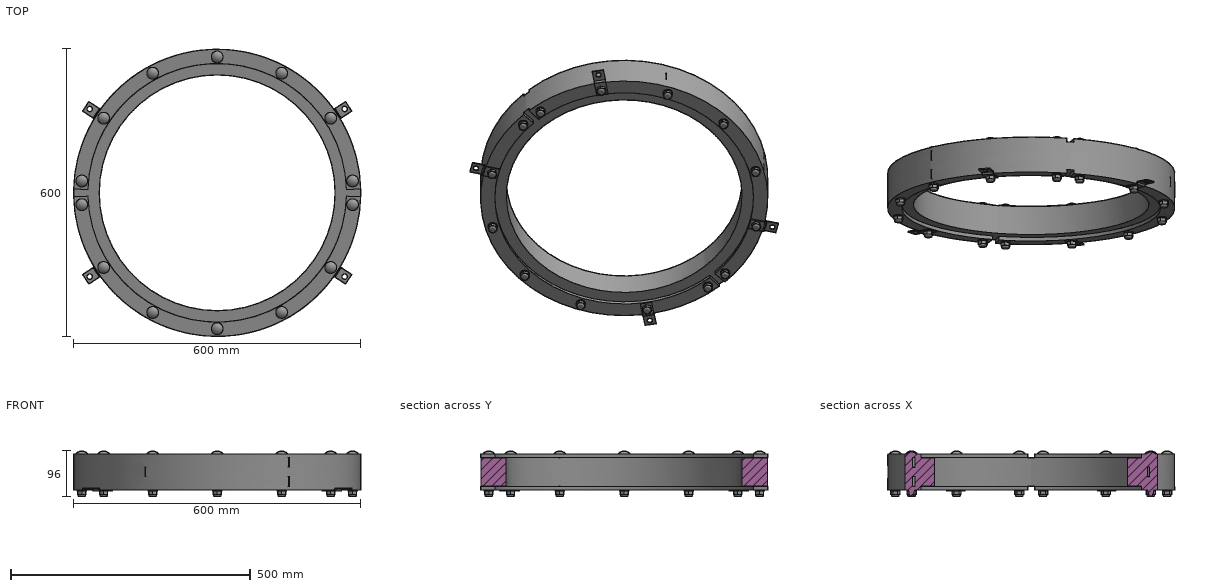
import cadquery as cq
import math

outer_radius = 300.0
flange_inner_radius = 270.0
bore_radius = 246.0
layer_count = 3
body_height = 60.0
flange_thickness = 8.0
flange_gap_half_angle = 1.5
lamination_count = 14

joint_width = 2.0
joint_angles_by_layer = [(120, 300), (60, 240), (120, 300)]

bolt_circle_radius = 284.0
bolts_per_half = 7
end_bolt_angle = 5.0
head_diameter = 24.5
head_height = 6.0
washer_diameter = 20.0
washer_thickness = 2.5
nut_across_corners = 20.0
nut_height = 6.5
collar_diameter = 16.0
collar_height = 5.0
collar_rounding = 3.0

tab_width = 24.0
tab_thickness = washer_thickness
tab_rise = 4.0
tab_inner_radius = 270.0
tab_bend_run = 2.5
tab_end_radius = 329.0
tab_hole_diameter = 11.0
tab_hole_radius = 318.5

layer_height = body_height / layer_count
body_top = body_height / 2
ring_top = body_top + flange_thickness
ring_bottom = -ring_top
bolt_pitch = (180 - 2 * end_bolt_angle) / (bolts_per_half - 1)
half_bolt_angles = [end_bolt_angle + i * bolt_pitch for i in range(bolts_per_half)]
bolt_angles = half_bolt_angles + [angle + 180 for angle in half_bolt_angles]
tab_angle = half_bolt_angles[1]
tab_angles = [tab_angle, 180 - tab_angle, 180 + tab_angle, 360 - tab_angle]


def polar(radius, angle):
    return (radius * math.cos(math.radians(angle)), radius * math.sin(math.radians(angle)))


def arc_block(inner, outer, start, end, bottom, height):
    """Part of a ring between two angles in degrees."""
    middle = (start + end) / 2
    return (
        cq.Workplane("XY", origin=(0, 0, bottom))
        .moveTo(*polar(inner, start))
        .lineTo(*polar(outer, start))
        .threePointArc(polar(outer, middle), polar(outer, end))
        .lineTo(*polar(inner, end))
        .threePointArc(polar(inner, middle), polar(inner, start))
        .close()
        .extrude(height)
    )


def half_layer(level, start):
    """Half of one outer layer, with its open joint cut through to the laminations."""
    bottom = -body_top + level * layer_height
    layer = arc_block(flange_inner_radius, outer_radius, start, start + 180, bottom, layer_height)
    joint_depth = outer_radius - flange_inner_radius
    joint_middle = (outer_radius + flange_inner_radius) / 2
    for angle in joint_angles_by_layer[level]:
        joint = (
            cq.Workplane("XY")
            .box(joint_depth, joint_width, layer_height, centered=(True, True, False))
            .translate((joint_middle, 0, bottom))
            .rotate((0, 0, 0), (0, 0, 1), angle)
        )
        layer = layer.cut(joint)
    return layer


def lamination_halves():
    thickness = (flange_inner_radius - bore_radius) / lamination_count
    halves = []
    for i in range(lamination_count):
        inner = bore_radius + i * thickness
        for start in (0, 180):
            halves.append(
                arc_block(inner, inner + thickness, start, start + 180, -body_top, body_height)
            )
    return halves


def half_flange(bottom, start):
    return arc_block(
        flange_inner_radius,
        outer_radius,
        start + flange_gap_half_angle,
        start + 180 - flange_gap_half_angle,
        bottom,
        flange_thickness,
    )


def bolt_head():
    """Shallow spherical cap standing on the top flange."""
    radius = head_diameter / 2
    sphere_radius = (radius**2 + head_height**2) / (2 * head_height)
    blank = cq.Workplane("XY").circle(sphere_radius).extrude(head_height)
    ball = cq.Workplane("YZ").sphere(sphere_radius).translate((0, 0, head_height - sphere_radius))
    return ball.intersect(blank).translate((0, 0, ring_top))


def nut():
    """Washer, hexagon with corners along Y, and a rounded collar under the bottom flange."""
    washer = cq.Workplane("XY").circle(washer_diameter / 2).extrude(-washer_thickness)
    hexagon = (
        cq.Workplane("XY", origin=(0, 0, -washer_thickness))
        .polygon(6, nut_across_corners)
        .extrude(-nut_height)
        .rotate((0, 0, 0), (0, 0, 1), 90)
    )
    collar = (
        cq.Workplane("XY", origin=(0, 0, -washer_thickness - nut_height))
        .circle(collar_diameter / 2)
        .extrude(-collar_height)
        .faces("<Z")
        .edges()
        .fillet(collar_rounding)
    )
    return washer.union(hexagon).union(collar).translate((0, 0, ring_bottom))


def tab():
    """Strip along +X: flat under the flange, then bent up outside the ring, with a hole."""
    bend_end = outer_radius + tab_bend_run
    strip = (
        cq.Workplane("XZ", origin=(0, tab_width / 2, ring_bottom))
        .moveTo(tab_inner_radius, 0)
        .lineTo(outer_radius, 0)
        .lineTo(bend_end, tab_rise)
        .lineTo(tab_end_radius, tab_rise)
        .lineTo(tab_end_radius, tab_rise - tab_thickness)
        .lineTo(bend_end + tab_thickness, tab_rise - tab_thickness)
        .lineTo(outer_radius + tab_thickness, -tab_thickness)
        .lineTo(tab_inner_radius, -tab_thickness)
        .close()
        .extrude(tab_width)
    )
    hole = (
        cq.Workplane("XY", origin=(tab_hole_radius, 0, ring_bottom))
        .circle(tab_hole_diameter / 2)
        .extrude(tab_rise)
    )
    return strip.cut(hole)


pieces = lamination_halves()
for half_start in (0, 180):
    pieces += [half_layer(level, half_start) for level in range(layer_count)]
    pieces += [half_flange(bottom, half_start) for bottom in (body_top, ring_bottom)]

for angle in bolt_angles:
    x, y = polar(bolt_circle_radius, angle)
    pieces += [fastener.translate((x, y, 0)) for fastener in (bolt_head(), nut())]

pieces += [tab().rotate((0, 0, 0), (0, 0, 1), angle) for angle in tab_angles]

solids = [piece.val() for piece in pieces]
result = cq.Workplane(solids[0].fuse(*solids[1:]))